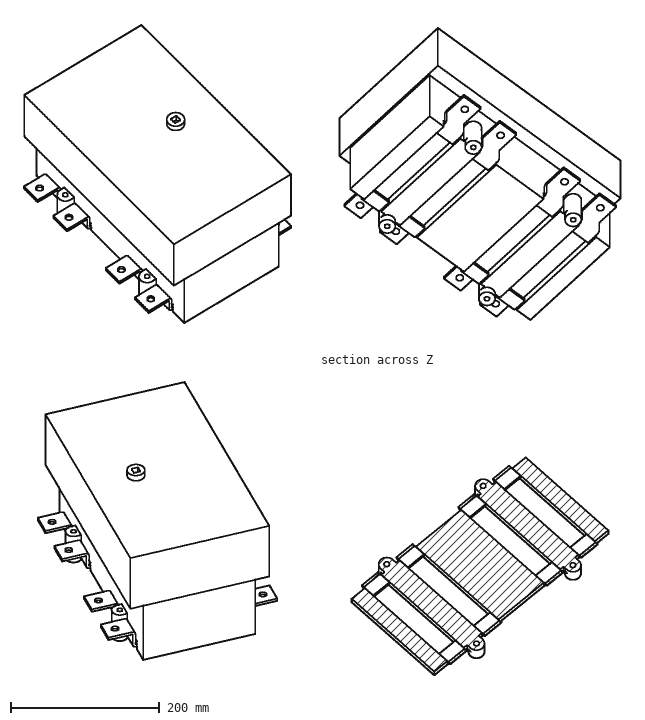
import cadquery as cq


fittings_x = -0.3

base_length = 324.7
base_width = 161.0
base_height = 95.5

cover_length = 329.0
cover_width = 199.5
cover_height = 87.5
hub_diameter = 24.0
hub_height = 9.0
hub_y = 31.0
socket_side = 9.2

post_diameter = 22.0
post_hole_diameter = 7.0
post_spacing = 179.5
post_y = 87.2
post_top = 34.0
post_drop = 11.2

terminal_width = 30.3
terminal_thickness = 4.3
terminal_tip_y = 121.0
terminal_top = 31.3
inner_bend_radius = 1.0
outer_bend_radius = inner_bend_radius + terminal_thickness
foot_bottom = 4.3
foot_insertion = 16.5
terminal_hole_diameter = 10.0
terminal_hole_depth = 4.0
terminal_hole_y = 106.0
terminal_spacing = 64.5
leg_outer_y = 86.5

slot_height = 13.8

post_xs = [fittings_x + side * post_spacing / 2 for side in (-1, 1)]
terminal_xs = [x + side * terminal_spacing / 2 for x in post_xs for side in (-1, 1)]


def box_on(z, length, width, height):
    """Box centred on the Z axis with its underside at height z."""
    return cq.Workplane("XY", origin=(0, 0, z)).rect(length, width).extrude(height)


def cylinder_on(x, y, z, diameter, height):
    """Upright cylinder whose lower end is centred at (x, y, z)."""
    return cq.Workplane("XY", origin=(x, y, z)).circle(diameter / 2).extrude(height)


def make_post(x, side):
    """Round post on the long side of the base, joined to its wall by a web as wide as the post."""
    post = cylinder_on(x, side * post_y, -post_drop, post_diameter, post_top + post_drop)
    web = box_on(0, post_diameter, post_y, post_top).translate((x, side * post_y / 2, 0))
    return post.union(web)


def make_base():
    """Block with four cross slots in its underside and four drilled posts."""
    base = box_on(0, base_length, base_width, base_height)
    for x in terminal_xs:
        base = base.cut(box_on(0, terminal_width, base_width, slot_height).translate((x, 0, 0)))
    for x in post_xs:
        for side in (-1, 1):
            base = base.union(make_post(x, side))
            hole = cylinder_on(x, side * post_y, -post_drop, post_hole_diameter, post_top + post_drop)
            base = base.cut(hole)
    return base


def make_cover():
    """Block resting on the base; the socket is as deep as the hub is high."""
    cover_top = base_height + cover_height
    cover = box_on(base_height, cover_length, cover_width, cover_height)
    hub = cylinder_on(fittings_x, hub_y, cover_top, hub_diameter, hub_height)
    socket = box_on(cover_top, socket_side, socket_side, hub_height).translate((fittings_x, hub_y, 0))
    return cover.union(hub.cut(socket))


def make_terminal():
    """Z-shaped strip on the +Y side, centred on x = 0, with a blind hole in its flange."""
    leg_inner_y = leg_outer_y - terminal_thickness
    foot_top = foot_bottom + terminal_thickness
    flange_bottom = terminal_top - terminal_thickness
    foot_end_y = base_width / 2 - foot_insertion
    strip = (
        cq.Workplane("YZ", origin=(-terminal_width / 2, 0, 0))
        .moveTo(foot_end_y, foot_bottom)
        .lineTo(leg_outer_y - outer_bend_radius, foot_bottom)
        .radiusArc((leg_outer_y, foot_bottom + outer_bend_radius), -outer_bend_radius)
        .lineTo(leg_outer_y, flange_bottom - inner_bend_radius)
        .radiusArc((leg_outer_y + inner_bend_radius, flange_bottom), inner_bend_radius)
        .lineTo(terminal_tip_y, flange_bottom)
        .lineTo(terminal_tip_y, terminal_top)
        .lineTo(leg_inner_y + outer_bend_radius, terminal_top)
        .radiusArc((leg_inner_y, terminal_top - outer_bend_radius), -outer_bend_radius)
        .lineTo(leg_inner_y, foot_top + inner_bend_radius)
        .radiusArc((leg_inner_y - inner_bend_radius, foot_top), inner_bend_radius)
        .lineTo(foot_end_y, foot_top)
        .close()
        .extrude(terminal_width)
    )
    hole_floor = terminal_top - terminal_hole_depth
    hole = cylinder_on(0, terminal_hole_y, hole_floor, terminal_hole_diameter, terminal_hole_depth)
    return strip.cut(hole)


def place_terminals():
    """One terminal at each end of every slot; the -Y ones are turned half a turn."""
    terminal = make_terminal()
    turned_terminal = terminal.rotate((0, 0, 0), (0, 0, 1), 180)
    terminals = []
    for x in terminal_xs:
        for shape in (terminal, turned_terminal):
            terminals.append(shape.translate((x, 0, 0)).val())
    return terminals


base = make_base()
cover = make_cover()
terminals = place_terminals()

result = cq.Compound.makeCompound([base.val(), cover.val(), *terminals])